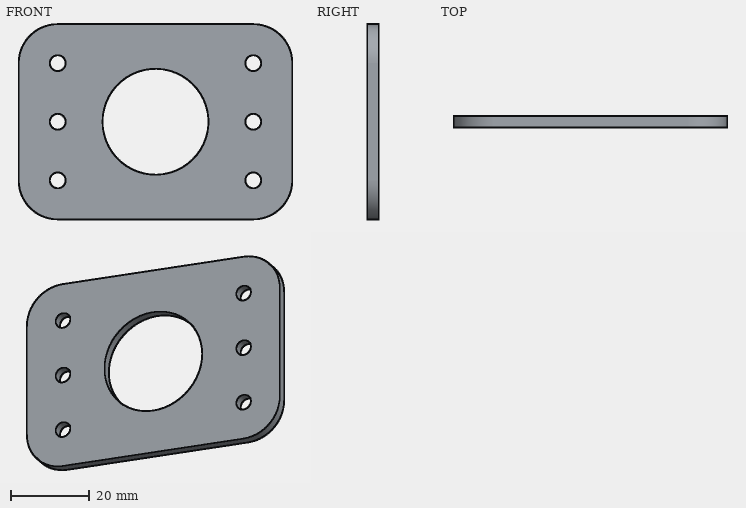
import cadquery as cq

length = 70.0
height = 50.0
thickness = 3.0
corner_radius = 10.0

bore_diameter = 27.0
screw_hole_diameter = 4.0
screw_holes_per_side = 3
screw_hole_pitch = 15.0
screw_column_spacing = length - 2 * corner_radius

plate = (
    cq.Workplane("XY")
    .box(length, thickness, height)
    .edges("|Y")
    .fillet(corner_radius)
)

result = (
    plate.faces("<Y")
    .workplane(centerOption="CenterOfBoundBox")
    .hole(bore_diameter)
    .faces("<Y")
    .workplane(centerOption="CenterOfBoundBox")
    .rarray(screw_column_spacing, screw_hole_pitch, 2, screw_holes_per_side)
    .hole(screw_hole_diameter)
)